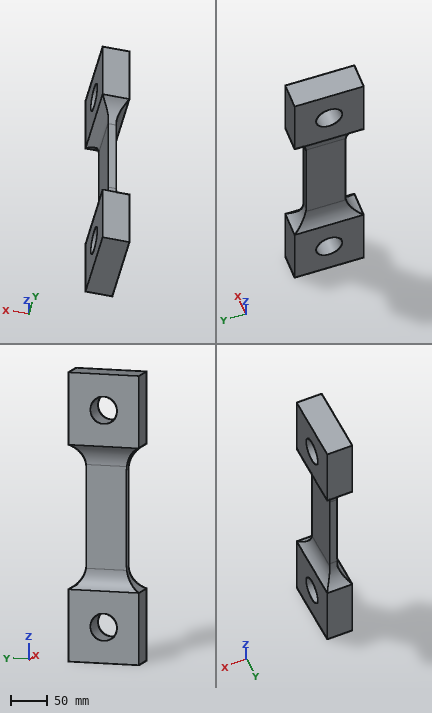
import cadquery as cq
import math

length = 406.5
grip_thickness = 38.0
grip_width = 101.5
grip_length = 101.5

neck_thickness = 11.5
neck_width = 58.0
shoulder_radius = 37.5

hole_diameter = 38.0
hole_offset = (length - grip_length) / 2

shoulder_z = length / 2 - grip_length


def necked_outline(plane, grip_size, neck_size):
    """Bar outline whose concave shoulders run tangent into the neck."""
    grip = grip_size / 2
    neck = neck_size / 2
    end = length / 2
    sweep = math.acos(1 - (grip - neck) / shoulder_radius)
    tangent_z = shoulder_z - shoulder_radius * math.sin(sweep)
    mid_u = neck + shoulder_radius * (1 - math.cos(sweep / 2))
    mid_z = tangent_z + shoulder_radius * math.sin(sweep / 2)
    return (
        cq.Workplane(plane)
        .moveTo(-grip, end)
        .lineTo(grip, end)
        .lineTo(grip, shoulder_z)
        .threePointArc((mid_u, mid_z), (neck, tangent_z))
        .lineTo(neck, -tangent_z)
        .threePointArc((mid_u, -mid_z), (grip, -shoulder_z))
        .lineTo(grip, -end)
        .lineTo(-grip, -end)
        .lineTo(-grip, -shoulder_z)
        .threePointArc((-mid_u, -mid_z), (-neck, -tangent_z))
        .lineTo(-neck, tangent_z)
        .threePointArc((-mid_u, mid_z), (-grip, shoulder_z))
        .close()
    )


thickness_profile = necked_outline("XZ", grip_thickness, neck_thickness).extrude(grip_width / 2, both=True)
width_profile = necked_outline("YZ", grip_width, neck_width).extrude(grip_thickness / 2, both=True)
bar = thickness_profile.intersect(width_profile)

pin_holes = (
    cq.Workplane("YZ", origin=(-grip_thickness / 2, 0, 0))
    .pushPoints([(0, hole_offset), (0, -hole_offset)])
    .circle(hole_diameter / 2)
    .extrude(grip_thickness)
)

result = bar.cut(pin_holes)